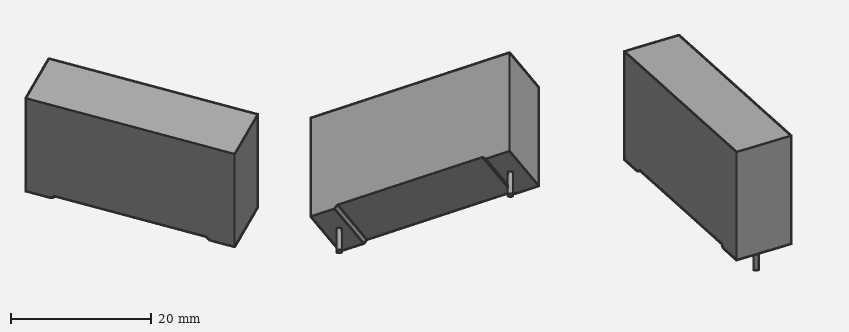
import cadquery as cq

case_length = 32.0
case_depth = 9.0
case_height = 18.0

foot_length = 3.85
relief_height = 0.5

lead_diameter = 0.8
lead_pitch = 27.52
lead_length = 4.0
lead_embedding = 1.6


def make_case():
    """Case with the relief cut along its full depth."""
    half_length = case_length / 2
    relief_half_bottom = half_length - foot_length
    relief_half_top = relief_half_bottom - relief_height
    return (
        cq.Workplane("XZ")
        .moveTo(-half_length, 0)
        .lineTo(-relief_half_bottom, 0)
        .lineTo(-relief_half_top, relief_height)
        .lineTo(relief_half_top, relief_height)
        .lineTo(relief_half_bottom, 0)
        .lineTo(half_length, 0)
        .lineTo(half_length, case_height)
        .lineTo(-half_length, case_height)
        .close()
        .extrude(case_depth / 2, both=True)
    )


def make_leads():
    """Two round leads on the case's long centre line."""
    return (
        cq.Workplane("XY")
        .workplane(offset=-lead_length)
        .pushPoints([(-lead_pitch / 2, 0), (lead_pitch / 2, 0)])
        .circle(lead_diameter / 2)
        .extrude(lead_length + lead_embedding)
    )


result = make_case().union(make_leads())